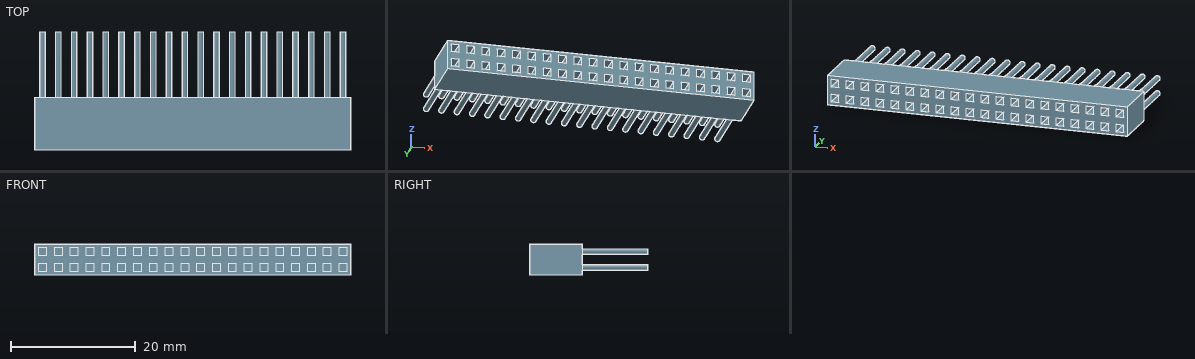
import cadquery as cq

columns = 20
rows = 2

housing_length = 50.8
housing_depth = 8.5
housing_height = 5.0
pitch = housing_length / columns

socket_side = 1.25
socket_depth = housing_depth / 2
pin_diameter = 0.9
total_depth = 19.0
pin_length = total_depth - housing_depth


def plane_facing_back(y):
    """Plane at the given depth, with its normal along +Y."""
    return cq.Workplane(cq.Plane(origin=(0, y, 0), xDir=(1, 0, 0), normal=(0, 1, 0)))


def at_contacts(y):
    """Contact centres on the plane at the given depth, centred on the housing."""
    return plane_facing_back(y).rarray(pitch, pitch, columns, rows)


housing = plane_facing_back(0).rect(housing_length, housing_height).extrude(housing_depth)
sockets = at_contacts(0).rect(socket_side, socket_side).extrude(socket_depth)
pins = at_contacts(housing_depth).circle(pin_diameter / 2).extrude(pin_length)

result = housing.cut(sockets).union(pins)